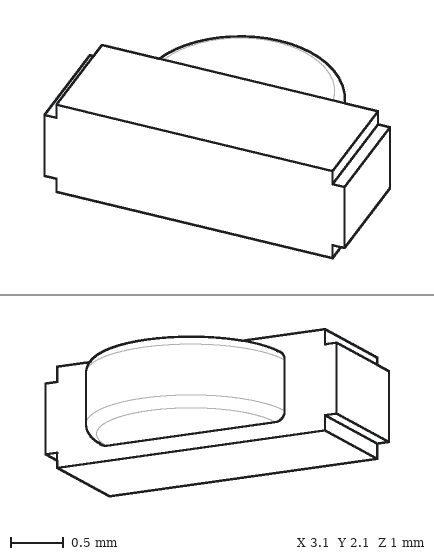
import cadquery as cq

total_length = 3.1
body_depth = 1.1
body_height = 1.0
tab_length = 0.125
tab_height = 0.7
lens_radius = 0.998
lens_thickness = tab_height
lens_edge_radius = 0.1

core_length = total_length - 2 * tab_length


def make_body():
    """Rectangular core with a lower, full-depth tab at each end."""
    core = cq.Workplane("XY").box(core_length, body_depth, body_height)
    tabs = cq.Workplane("XY").box(total_length, body_depth, tab_height)
    return core.union(tabs)


def make_lens():
    """Rounded disc centred on the back face; its front half lies inside the body."""
    return (
        cq.Workplane("XY")
        .cylinder(lens_thickness, lens_radius)
        .edges("%CIRCLE")
        .fillet(lens_edge_radius)
        .translate((0, body_depth / 2, 0))
    )


result = make_body().union(make_lens())